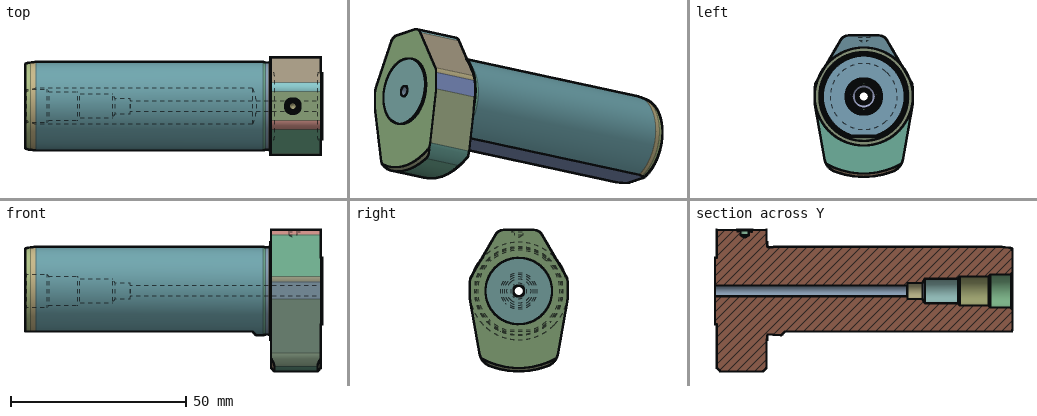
import cadquery as cq
import math


shank_radius = 25.4 / 2
shank_length = 70.0
tip_radius = 25.0 / 2
taper_end = 3.15
nose_end = 1.65
nose_drop = 0.35
rim_chamfer_length = 0.2
rim_chamfer_height = 0.45
groove_radius = 25.0 / 2
groove_start = 68.0
groove_ramp_end = 68.7
groove_fillet = 0.4
flat_depth = 11.6
flat_length = 65.0

seat_radius = 14.0
seat_height = 0.25
head_start = shank_length + seat_height
head_end = 84.5
head_half_width = 14.0
head_top = 17.5
head_bottom_radius = 23.0
top_half_width = 5.85
shoulder_angle = math.radians(60)
shoulder_radius = 3.0
waist_height = -2.3
side_taper = math.radians(10)
bottom_corner_radius = 5.0
bottom_chamfer = 1.0
end_boss_radius = 19.0 / 2
total_length = 85.0

bore_mouth_radius = 10.4 / 2
bore_radius = 9.4 / 2
bore_depth = 6.3
middle_radius = 8.2 / 2
middle_depth = 15.0
tap_radius = 6.9 / 2
tap_depth = 25.0
drill_half_angle = math.radians(59)
socket_radius = 4.5 / 2
socket_depth = 30.0
outlet_chamfer_radius = 3.4 / 2
outlet_radius = 3.0 / 2

screw_x = 76.5
screw_hole_radius = 4.5 / 2
screw_radius = 4.0 / 2
screw_top_radius = 3.0 / 2
screw_sink = 0.1
socket_mouth_radius = 2.31 / 2
socket_hole_depth = 1.5


def make_shank():
    nose_length = nose_end - rim_chamfer_length
    nose_start_radius = tip_radius - nose_drop
    nose_arc_radius = (nose_length**2 + nose_drop**2) / (2 * nose_drop)
    blank = (
        cq.Workplane("XZ")
        .lineTo(0, nose_start_radius - rim_chamfer_height)
        .lineTo(rim_chamfer_length, nose_start_radius)
        .radiusArc((nose_end, tip_radius), nose_arc_radius)
        .lineTo(taper_end, shank_radius)
        .lineTo(groove_start, shank_radius)
        .lineTo(groove_ramp_end, groove_radius)
        .lineTo(shank_length - groove_fillet, groove_radius)
        .radiusArc((shank_length, groove_radius + groove_fillet), -groove_fillet)
        .lineTo(shank_length, seat_radius)
        .lineTo(head_start, seat_radius)
        .lineTo(head_start, 0)
        .close()
        .revolve(360, (0, 0, 0), (1, 0, 0))
    )
    run_out = shank_radius - flat_depth
    flat_cutter = (
        cq.Workplane("XZ")
        .moveTo(0, rim_chamfer_height - flat_depth)
        .lineTo(rim_chamfer_length, -flat_depth)
        .lineTo(flat_length, -flat_depth)
        .lineTo(flat_length + run_out, -shank_radius)
        .lineTo(0, -shank_radius)
        .close()
        .extrude(shank_radius, both=True)
    )
    return blank.cut(flat_cutter)


def make_head():
    shoulder_drop = (head_half_width - top_half_width) * math.tan(shoulder_angle)
    shoulder_height = head_top - shoulder_drop
    low = -head_bottom_radius
    low_half_width = head_half_width - (waist_height - low) * math.tan(side_taper)
    thickness = head_end - head_start
    body = (
        cq.Workplane("YZ", origin=(head_start, 0, 0))
        .polyline([
            (top_half_width, head_top),
            (head_half_width, shoulder_height),
            (head_half_width, waist_height),
            (low_half_width, low),
            (-low_half_width, low),
            (-head_half_width, waist_height),
            (-head_half_width, shoulder_height),
            (-top_half_width, head_top),
        ])
        .close()
        .extrude(thickness)
    )
    bottom_round = (
        cq.Workplane("YZ", origin=(head_start, 0, 0))
        .circle(head_bottom_radius)
        .extrude(thickness)
    )
    body = body.intersect(bottom_round)

    reach = 2 * head_bottom_radius
    shoulders = cq.selectors.BoxSelector((head_start, -reach, 0), (head_end, reach, reach))
    bottom_corners = cq.selectors.BoxSelector(
        (head_start, -reach, -reach), (head_end, reach, waist_height - bottom_corner_radius)
    )
    body = body.edges("|X").edges(shoulders).fillet(shoulder_radius)
    body = body.edges("|X").edges(bottom_corners).fillet(bottom_corner_radius)
    chamfered_bottom = bottom_round.faces("<X or >X").chamfer(bottom_chamfer)
    return body.intersect(chamfered_bottom)


def make_end_boss():
    return (
        cq.Workplane("YZ", origin=(head_end, 0, 0))
        .circle(end_boss_radius)
        .extrude(total_length - head_end)
    )


def make_bore():
    mouth_depth = bore_mouth_radius - bore_radius
    middle_start = bore_depth + bore_radius - middle_radius
    tap_start = middle_depth + middle_radius - tap_radius
    drill_end = tap_depth + (tap_radius - socket_radius) / math.tan(drill_half_angle)
    outlet_start = socket_depth + outlet_chamfer_radius - outlet_radius
    return (
        cq.Workplane("XZ")
        .polyline([
            (0, 0),
            (0, bore_mouth_radius),
            (mouth_depth, bore_radius),
            (bore_depth, bore_radius),
            (middle_start, middle_radius),
            (middle_depth, middle_radius),
            (tap_start, tap_radius),
            (tap_depth, tap_radius),
            (drill_end, socket_radius),
            (socket_depth, socket_radius),
            (socket_depth, outlet_chamfer_radius),
            (outlet_start, outlet_radius),
            (total_length, outlet_radius),
            (total_length, 0),
        ])
        .close()
        .revolve(360, (0, 0, 0), (1, 0, 0))
    )


def make_screw_recess():
    """Chamfered hole mouth, the notch around the screw edge and the screw's drilled socket."""
    mouth_depth = screw_hole_radius - screw_radius
    notch_depth = screw_sink + screw_radius - screw_top_radius
    point_depth = socket_hole_depth + socket_mouth_radius / math.tan(drill_half_angle)
    return (
        cq.Workplane("XZ", origin=(screw_x, 0, head_top))
        .polyline([
            (0, 0),
            (screw_hole_radius, 0),
            (screw_radius, -mouth_depth),
            (screw_radius, -notch_depth),
            (screw_top_radius, -screw_sink),
            (socket_mouth_radius, -screw_sink),
            (socket_mouth_radius, -socket_hole_depth),
            (0, -point_depth),
        ])
        .close()
        .revolve(360, (0, 0, 0), (0, 1, 0))
    )


outside = make_shank().union(make_head()).union(make_end_boss())
result = outside.cut(make_bore()).cut(make_screw_recess())